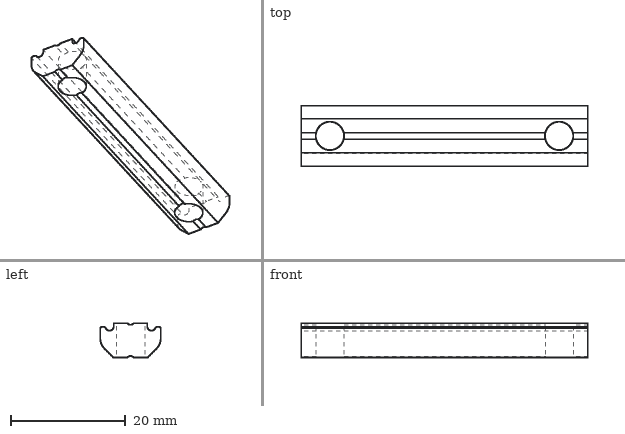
import cadquery as cq
import math

length = 50.0
width = 10.6
height = 6.0
half_width = width / 2
top = height / 2
bottom = -top

rib_half_width = 2.95
shoulder_drop = 0.6
shoulder_z = top - shoulder_drop
crown_width = 1.0
crown_rise = 0.25
crown_center_y = half_width - crown_width / 2
crown_inner_y = half_width - crown_width
crown_edge_z = shoulder_z - crown_rise

relief_radius = 0.7
relief_center_y = rib_half_width + relief_radius
relief_edge_offset = crown_inner_y - relief_center_y
relief_center_z = crown_edge_z + math.sqrt(relief_radius**2 - relief_edge_offset**2)

flank_angle = math.radians(45)
flank_radius = 2.6
slope_height = 1.55
slope_top_z = bottom + slope_height
flank_arc_z = slope_top_z + flank_radius * math.sin(flank_angle)
flank_center_y = half_width - flank_radius
slope_top_y = flank_center_y + flank_radius * math.cos(flank_angle)
bottom_half_width = slope_top_y - slope_height / math.tan(flank_angle)

mark_half_width = 0.55
mark_depth = 0.25

hole_diameter = 4.9
hole_spacing = 40.0


def half_section():
    """Cross-section on the +Y side of the centre plane, swept along the bar."""
    flank_mid_y = flank_center_y + flank_radius * math.cos(flank_angle / 2)
    flank_mid_z = flank_arc_z - flank_radius * math.sin(flank_angle / 2)
    return (
        cq.Workplane("YZ", origin=(-length / 2, 0, 0))
        .moveTo(0, bottom)
        .lineTo(bottom_half_width, bottom)
        .lineTo(slope_top_y, slope_top_z)
        .threePointArc((flank_mid_y, flank_mid_z), (half_width, flank_arc_z))
        .lineTo(half_width, crown_edge_z)
        .threePointArc((crown_center_y, shoulder_z), (crown_inner_y, crown_edge_z))
        .threePointArc(
            (relief_center_y, relief_center_z - relief_radius),
            (rib_half_width, relief_center_z),
        )
        .lineTo(rib_half_width, top)
        .lineTo(0, top)
        .close()
        .extrude(length)
    )


def center_groove(face_z):
    """Cutter for a centre-line groove: a cylinder whose edge dips into the face."""
    radius = (mark_half_width**2 + mark_depth**2) / (2 * mark_depth)
    rise = radius - mark_depth
    center_z = face_z + math.copysign(rise, face_z)
    return (
        cq.Workplane("YZ", origin=(-length / 2, 0, 0))
        .center(0, center_z)
        .circle(radius)
        .extrude(length)
    )


half_bar = half_section()
bar = half_bar.union(half_bar.mirror("XZ")).clean()

for face_z in (top, bottom):
    bar = bar.cut(center_groove(face_z))

holes = (
    cq.Workplane("XY", origin=(0, 0, bottom))
    .pushPoints([(-hole_spacing / 2, 0), (hole_spacing / 2, 0)])
    .circle(hole_diameter / 2)
    .extrude(height)
)

result = bar.cut(holes)